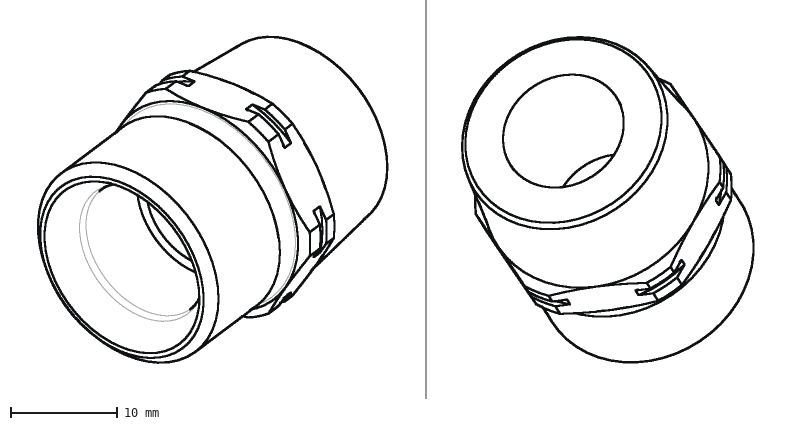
import cadquery as cq
import math

TOTAL_LENGTH = 29.0
HEX_START = 13.0
HEX_END = 18.0

THREAD_RADIUS = 21.0 / 2
THREAD_CHAMFER = 1.0

UNDERCUT_ARC_RADIUS = 1.0
UNDERCUT_FLOOR_RADIUS = 9.7

TAPER_LARGE_RADIUS = 11.0
TAPER_SMALL_RADIUS = 10.05
TAPER_CHAMFER = 0.45

HEX_SIDES = 6
HEX_ACROSS_FLATS = 22.0
HEX_CORNER_RADIUS = 12.0
HEX_CHAMFER_ANGLE = 30.0

GROOVE_CENTER = 15.7
GROOVE_WIDTH = 1.0
GROOVE_FLOOR_RADIUS = 11.5

SEAT_MOUTH_RADIUS = 9.0
SEAT_HALF_ANGLE = 30.0
SEAT_BLEND_RADIUS = 1.5
SOCKET_RADIUS = 14.0 / 2
SOCKET_DEPTH = 12.0
THROUGH_RADIUS = 11.82 / 2


def revolve_about_axis(profile):
    """Revolve a closed (radius, Y) profile around the Y axis."""
    return profile.close().revolve(360, (0, 0, 0), (0, 1, 0))


def make_straight_end():
    arc_center_radius = UNDERCUT_FLOOR_RADIUS + UNDERCUT_ARC_RADIUS
    arc_center_y = HEX_START - UNDERCUT_ARC_RADIUS
    diagonal = UNDERCUT_ARC_RADIUS * math.sin(math.radians(45))
    runout_radius = arc_center_radius - diagonal
    runout_y = arc_center_y - diagonal
    thread_end = runout_y - (THREAD_RADIUS - runout_radius)
    return revolve_about_axis(
        cq.Workplane("XY")
        .lineTo(THREAD_RADIUS - THREAD_CHAMFER, 0)
        .lineTo(THREAD_RADIUS, THREAD_CHAMFER)
        .lineTo(THREAD_RADIUS, thread_end)
        .lineTo(runout_radius, runout_y)
        .threePointArc((UNDERCUT_FLOOR_RADIUS, arc_center_y), (arc_center_radius, HEX_START))
        .lineTo(0, HEX_START)
    )


def make_tapered_end():
    return revolve_about_axis(
        cq.Workplane("XY")
        .moveTo(0, HEX_END)
        .lineTo(TAPER_LARGE_RADIUS, HEX_END)
        .lineTo(TAPER_SMALL_RADIUS, TOTAL_LENGTH - TAPER_CHAMFER)
        .lineTo(TAPER_SMALL_RADIUS - TAPER_CHAMFER, TOTAL_LENGTH)
        .lineTo(0, TOTAL_LENGTH)
    )


def make_hexagon():
    across_corners = HEX_ACROSS_FLATS / math.cos(math.pi / HEX_SIDES)
    prism = (
        cq.Workplane("XZ", origin=(0, HEX_START, 0))
        .polygon(HEX_SIDES, across_corners)
        .extrude(HEX_START - HEX_END)
    )
    face_radius = HEX_ACROSS_FLATS / 2
    chamfer_length = (HEX_CORNER_RADIUS - face_radius) * math.tan(math.radians(HEX_CHAMFER_ANGLE))
    groove_start = GROOVE_CENTER - GROOVE_WIDTH / 2
    groove_end = GROOVE_CENTER + GROOVE_WIDTH / 2
    turned_envelope = revolve_about_axis(
        cq.Workplane("XY")
        .moveTo(0, HEX_START)
        .lineTo(face_radius, HEX_START)
        .lineTo(HEX_CORNER_RADIUS, HEX_START + chamfer_length)
        .lineTo(HEX_CORNER_RADIUS, groove_start)
        .lineTo(GROOVE_FLOOR_RADIUS, groove_start)
        .lineTo(GROOVE_FLOOR_RADIUS, groove_end)
        .lineTo(HEX_CORNER_RADIUS, groove_end)
        .lineTo(HEX_CORNER_RADIUS, HEX_END - chamfer_length)
        .lineTo(face_radius, HEX_END)
        .lineTo(0, HEX_END)
    )
    return prism.intersect(turned_envelope)


def make_bore():
    half_angle = math.radians(SEAT_HALF_ANGLE)
    blend_start_radius = SOCKET_RADIUS + SEAT_BLEND_RADIUS * (1 - math.cos(half_angle))
    blend_start = (SEAT_MOUTH_RADIUS - blend_start_radius) / math.tan(half_angle)
    blend_end = blend_start + SEAT_BLEND_RADIUS * math.sin(half_angle)
    blend_mid_radius = SOCKET_RADIUS + SEAT_BLEND_RADIUS * (1 - math.cos(half_angle / 2))
    blend_mid = blend_end - SEAT_BLEND_RADIUS * math.sin(half_angle / 2)
    return revolve_about_axis(
        cq.Workplane("XY")
        .lineTo(SEAT_MOUTH_RADIUS, 0)
        .lineTo(blend_start_radius, blend_start)
        .threePointArc((blend_mid_radius, blend_mid), (SOCKET_RADIUS, blend_end))
        .lineTo(SOCKET_RADIUS, SOCKET_DEPTH)
        .lineTo(THROUGH_RADIUS, SOCKET_DEPTH)
        .lineTo(THROUGH_RADIUS, TOTAL_LENGTH)
        .lineTo(0, TOTAL_LENGTH)
    )


body = make_straight_end().union(make_hexagon()).union(make_tapered_end())
result = body.cut(make_bore())